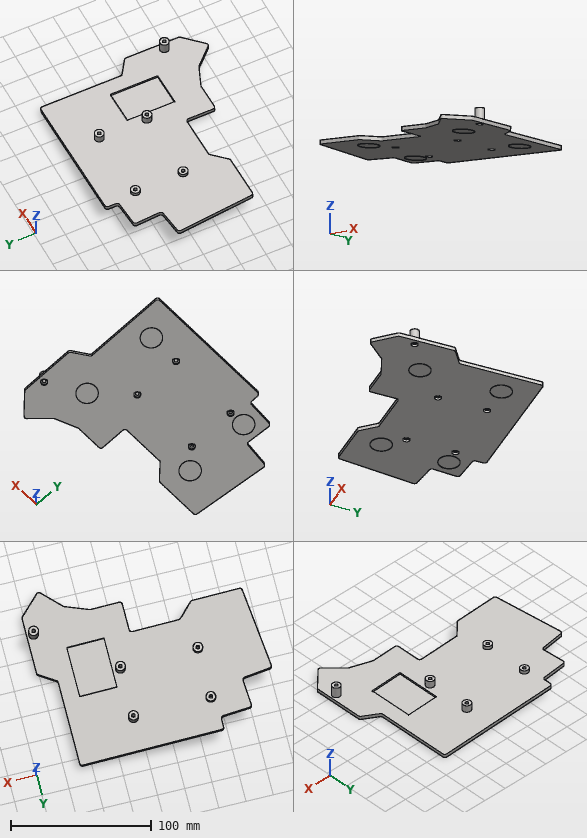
import cadquery as cq
import math

TILT = 3.0
THICKNESS = 3.0
CORNER_RADIUS = 2.0

REAR_EDGE = 66.2
FRONT_LEFT_EDGE = -32.5
NOTCH_EDGE = -21.1
FRONT_MIDDLE_EDGE = -44.75
STEP_SIDE = -37.5
NOTCH_SIDE = 9.9
REAR_RIGHT_SIDE = 68.45
RIGHT_SIDE = 81.76

OUTLINE = [
    (STEP_SIDE, REAR_EDGE),
    (REAR_RIGHT_SIDE, REAR_EDGE),
    (REAR_RIGHT_SIDE, 0.9),
    (RIGHT_SIDE, -8.0),
    (RIGHT_SIDE, -51.6),
    (65.85, -67.43),
    (50.85, -51.9),
    (33.1, FRONT_MIDDLE_EDGE),
    (NOTCH_SIDE, FRONT_MIDDLE_EDGE),
    (NOTCH_SIDE, NOTCH_EDGE),
    (-26.8, NOTCH_EDGE),
    (-38.0, FRONT_LEFT_EDGE),
    (-75.2, FRONT_LEFT_EDGE),
    (-81.8, 30.45),
    (-59.3, 32.8),
    (-60.8, 55.2),
    (STEP_SIDE, 56.55),
]

POST_DIAMETER = 7.0
POST_TOP = 4.56
SCREW_HOLE_DIAMETER = 2.5
HEAD_RECESS_DIAMETER = 5.0
HEAD_RECESS_DEPTH = 2.0

KEY_PITCH = 19.0
LEFT_POST_X, LEFT_POST_Y = -34.0, 3.1
RIGHT_POST_X, RIGHT_POST_Y = LEFT_POST_X + 3 * KEY_PITCH, 3.45
THUMB_POST = (76.6, -37.2)
POSTS = [
    (LEFT_POST_X, LEFT_POST_Y),
    (LEFT_POST_X, LEFT_POST_Y + 2 * KEY_PITCH),
    (RIGHT_POST_X, RIGHT_POST_Y),
    (RIGHT_POST_X, RIGHT_POST_Y + 2 * KEY_PITCH),
    THUMB_POST,
]

FOOT_DIAMETER = 16.0
FOOT_DEPTH = 0.3
LEFT_FEET_X, RIGHT_FEET_X = -47.0, 49.0
REAR_FEET_Y = 41.6
FEET = [
    (LEFT_FEET_X, REAR_FEET_Y),
    (LEFT_FEET_X, -10.8),
    (RIGHT_FEET_X, REAR_FEET_Y),
    (RIGHT_FEET_X, -21.4),
]

POCKET_CENTER_X, POCKET_CENTER_Y = 42.5, -2.8
POCKET_LENGTH, POCKET_WIDTH = 27.4, 37.7
POCKET_DEPTH = 1.5

CUT_OVERLAP = 1.0


def upright_cylinder(x, y, diameter, bottom, top):
    base = cq.Workplane("XY", origin=(x, y, bottom))
    return base.circle(diameter / 2).extrude(top - bottom)


def plate_blank():
    base = cq.Workplane("XY", origin=(0, 0, -THICKNESS))
    blank = base.polyline(OUTLINE).close().extrude(THICKNESS)
    return blank.edges("|Z").fillet(CORNER_RADIUS)


def pocket_cutter():
    base = cq.Workplane("XY", origin=(POCKET_CENTER_X, POCKET_CENTER_Y, -POCKET_DEPTH))
    return base.rect(POCKET_LENGTH, POCKET_WIDTH).extrude(POCKET_DEPTH + CUT_OVERLAP)


def feet_cutter():
    base = cq.Workplane("XY", origin=(0, 0, -THICKNESS - CUT_OVERLAP))
    return base.pushPoints(FEET).circle(FOOT_DIAMETER / 2).extrude(FOOT_DEPTH + CUT_OVERLAP)


def tilted_plate():
    plate = plate_blank().cut(pocket_cutter()).cut(feet_cutter())
    return plate.rotate((0, 0, 0), (0, 1, 0), TILT)


def underside_height(x):
    """Height of the tilted underside at a given X."""
    slope = math.radians(TILT)
    return -x * math.tan(slope) - THICKNESS / math.cos(slope)


def add_post(body, x, y):
    """Add one post, drilled through and recessed from below for the screw head."""
    underside = underside_height(x)
    below = underside - CUT_OVERLAP
    mid_plate = underside + THICKNESS / 2
    recess_top = underside + HEAD_RECESS_DEPTH
    body = body.union(upright_cylinder(x, y, POST_DIAMETER, mid_plate, POST_TOP))
    body = body.cut(upright_cylinder(x, y, SCREW_HOLE_DIAMETER, below, POST_TOP + CUT_OVERLAP))
    return body.cut(upright_cylinder(x, y, HEAD_RECESS_DIAMETER, below, recess_top))


result = tilted_plate()
for post_x, post_y in POSTS:
    result = add_post(result, post_x, post_y)